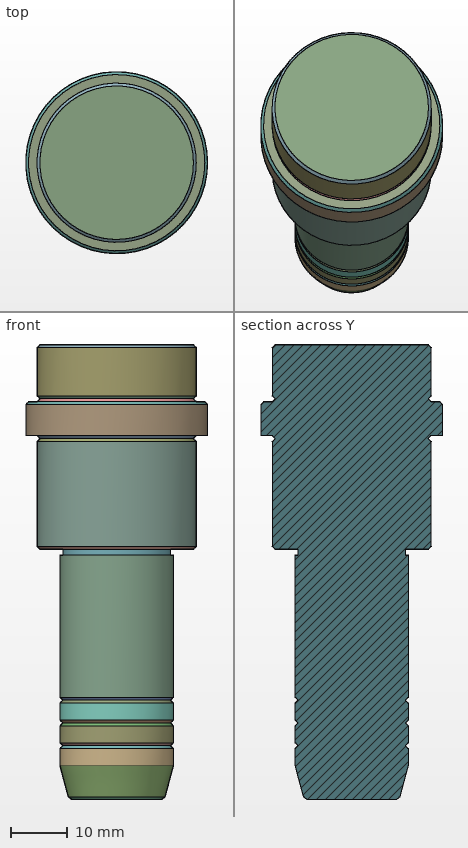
import cadquery as cq
import math

total_length = 80.0
collar_top = 70.0
collar_bottom = 64.0
body_bottom = 44.0
taper_top = 6.0
barb_groove_tops = [10.0, 14.0, 18.0]

collar_radius = 16.0
body_radius = 14.0
shank_radius = 10.0
taper_angle = 15.0
tip_radius = shank_radius - taper_top * math.tan(math.radians(taper_angle))

edge_chamfer = 0.5
groove_depth = 0.5
groove_width = 2 * groove_depth


def disc(radius, bottom, top):
    """Solid cylinder on the Z axis between two heights."""
    return cq.Workplane("XY").workplane(offset=bottom).circle(radius).extrude(top - bottom)


def v_groove(radius, bottom):
    """Ring with a V section that bites into a cylinder of the given radius."""
    return (
        cq.Workplane("XZ")
        .moveTo(radius, bottom)
        .lineTo(radius - groove_depth, bottom + groove_width / 2)
        .lineTo(radius, bottom + groove_width)
        .close()
        .revolve(360, (0, 0, 0), (0, 1, 0))
    )


body = disc(body_radius, body_bottom, total_length).faces("<Z or >Z").chamfer(edge_chamfer)

for groove_bottom in (collar_bottom - groove_width, collar_top):
    body = body.cut(v_groove(body_radius, groove_bottom))

collar = disc(collar_radius, collar_bottom, collar_top).faces(">Z").chamfer(edge_chamfer)

shank_top = body_bottom - groove_width
shank = disc(shank_radius, taper_top, shank_top)
neck = disc(shank_radius - groove_depth, shank_top, body_bottom)
tip = (
    cq.Workplane("XY")
    .circle(tip_radius)
    .workplane(offset=taper_top)
    .circle(shank_radius)
    .loft(ruled=True)
    .faces("<Z")
    .chamfer(edge_chamfer)
)
for groove_top in barb_groove_tops:
    shank = shank.cut(v_groove(shank_radius, groove_top - groove_width))

result = body.union(collar).union(neck).union(shank).union(tip)